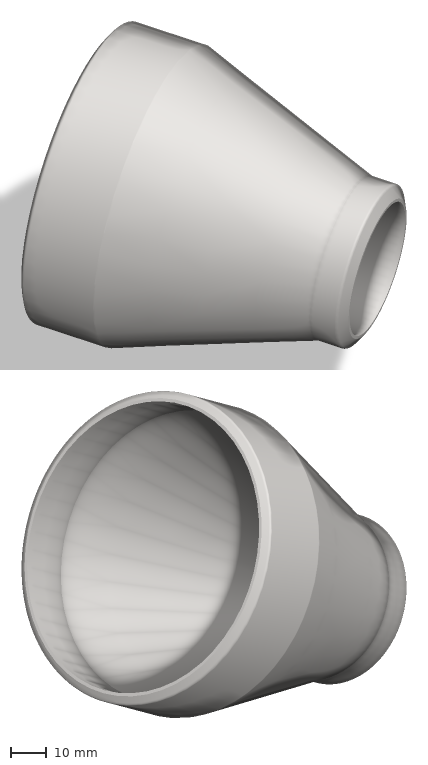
import cadquery as cq
import math

length = 90.0
large_outer_radius = 88.9 / 2
large_bore_radius = 82.5 / 2
small_outer_radius = 48.3 / 2
small_bore_radius = 39.3 / 2

large_collar_length = 22.95
small_collar_length = 10.1

land_width = 0.9
bevel_angle = math.radians(30.0)
blend_radius = 1.0

cone_start = large_collar_length
cone_end = length - small_collar_length

straight_bore_length = 15.1
bore_taper_end = length - straight_bore_length


def bevel_depth(outer_radius, bore_radius):
    """Axial depth of a bevel that leaves the flat land at the bore."""
    return (outer_radius - bore_radius - land_width) * math.tan(bevel_angle)


large_bevel_depth = bevel_depth(large_outer_radius, large_bore_radius)
small_bevel_depth = bevel_depth(small_outer_radius, small_bore_radius)

outer_body = (
    cq.Workplane("XY")
    .polyline([
        (0, 0),
        (0, large_bore_radius + land_width),
        (large_bevel_depth, large_outer_radius),
        (cone_start, large_outer_radius),
        (cone_end, small_outer_radius),
        (length - small_bevel_depth, small_outer_radius),
        (length, small_bore_radius + land_width),
        (length, 0),
    ])
    .close()
    .revolve(360, (0, 0, 0), (1, 0, 0))
)

tolerance = 0.01
edge_positions = [large_bevel_depth, cone_start, cone_end, length - small_bevel_depth]
for position in edge_positions:
    edge_zone = cq.selectors.BoxSelector(
        (position - tolerance, -length, -length),
        (position + tolerance, length, length),
        boundingbox=True,
    )
    outer_body = outer_body.edges(edge_zone).fillet(blend_radius)

bore = (
    cq.Workplane("XY")
    .polyline([
        (0, 0),
        (0, large_bore_radius),
        (straight_bore_length, large_bore_radius),
        (bore_taper_end, small_bore_radius),
        (length, small_bore_radius),
        (length, 0),
    ])
    .close()
    .revolve(360, (0, 0, 0), (1, 0, 0))
)

result = outer_body.cut(bore)